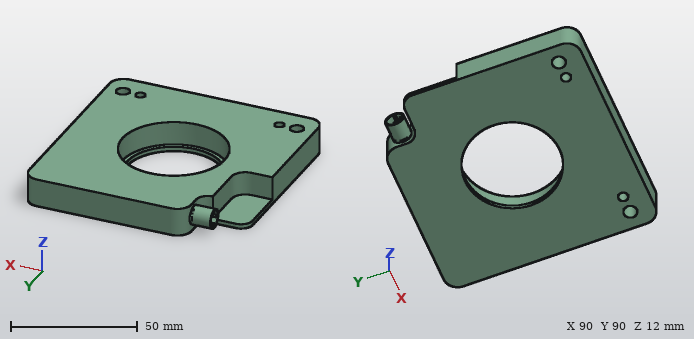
import cadquery as cq
import math

plate_size = 90.0
plate_thickness = 12.0
corner_radius = 6.0
tab_corner_radius = 5.0
half_size = plate_size / 2

notch_width = 20.0
notch_length = 15.5
notch_inner_radius = 5.0
notch_wall_x = -half_size + notch_width
notch_wall_y = half_size - notch_length

pocket_width = notch_width - notch_inner_radius
pocket_end_from_top_edge = 39.5
pocket_length = pocket_end_from_top_edge - notch_length
pocket_corner_radius = 6.0
tab_thickness = 2.0

bore_diameter = 44.0
through_diameter = 40.0
lip_thickness = 2.0

hole_row_y = -half_size + 10.0
screw_hole_x = half_size - 7.5
screw_hole_diameter = 5.5
dowel_hole_x = half_size - 15.0
dowel_hole_diameter = 4.0

connector_diameter = 8.0
connector_length = 8.7
connector_socket_diameter = 7.0
connector_socket_depth = 8.0
connector_y = half_size - 8.6
connector_z = 6.2
connector_embed = 1.0
pin_diameter = 1.0
pin_circle_radius = 2.5
pin_recess = 0.2
pin_angles = (0, 90, 180)


def make_plate():
    """Square plate with the notch in its outline and every outline corner rounded."""
    outline = (
        cq.Workplane("XY")
        .moveTo(-half_size, -half_size)
        .lineTo(half_size, -half_size)
        .lineTo(half_size, half_size)
        .lineTo(notch_wall_x, half_size)
        .lineTo(notch_wall_x, notch_wall_y)
        .lineTo(-half_size, notch_wall_y)
        .close()
        .extrude(plate_thickness)
    )
    mid_height = plate_thickness / 2
    tab_corner = cq.selectors.NearestToPointSelector((-half_size, notch_wall_y, mid_height))
    inner_corner = cq.selectors.NearestToPointSelector((notch_wall_x, notch_wall_y, mid_height))
    rounded = outline.edges("|Z and (>X or >Y or <Y)").fillet(corner_radius)
    rounded = rounded.edges(tab_corner).fillet(tab_corner_radius)
    return rounded.edges(inner_corner).fillet(notch_inner_radius)


def make_pocket():
    """Cutter above the tab, rounded only at its inner corner."""
    block = cq.Workplane("XY").box(
        pocket_width, pocket_length, plate_thickness - tab_thickness, centered=False
    )
    block = block.edges("|Z and >X and <Y").fillet(pocket_corner_radius)
    return block.translate((-half_size, notch_wall_y - pocket_length, tab_thickness))


def make_bore():
    """Cutter for the central opening with a thin lip at the bottom."""
    through = cq.Workplane("XY").circle(through_diameter / 2).extrude(plate_thickness)
    counterbore = (
        cq.Workplane("XY", origin=(0, 0, lip_thickness))
        .circle(bore_diameter / 2)
        .extrude(plate_thickness - lip_thickness)
    )
    return through.union(counterbore)


def make_hole_pair(x_offset, diameter):
    """Cutter for two through holes mirrored about X = 0."""
    return (
        cq.Workplane("XY")
        .pushPoints([(-x_offset, hole_row_y), (x_offset, hole_row_y)])
        .circle(diameter / 2)
        .extrude(plate_thickness)
    )


def make_rod(start_x, length, diameter, y=connector_y, z=connector_z):
    """Cylinder along +X, starting at start_x."""
    return cq.Workplane("YZ", origin=(start_x, y, z)).circle(diameter / 2).extrude(length)


def add_connector(body):
    """Hollow connector barrel with contact pins standing on the socket floor."""
    mouth_x = notch_wall_x - connector_length
    body = body.union(make_rod(mouth_x, connector_length + connector_embed, connector_diameter))
    body = body.cut(make_rod(mouth_x, connector_socket_depth, connector_socket_diameter))
    pin_length = connector_socket_depth - pin_recess + connector_embed
    for angle in pin_angles:
        pin_y = connector_y - pin_circle_radius * math.sin(math.radians(angle))
        pin_z = connector_z + pin_circle_radius * math.cos(math.radians(angle))
        body = body.union(make_rod(mouth_x + pin_recess, pin_length, pin_diameter, pin_y, pin_z))
    return body


plate = (
    make_plate()
    .cut(make_pocket())
    .cut(make_bore())
    .cut(make_hole_pair(screw_hole_x, screw_hole_diameter))
    .cut(make_hole_pair(dowel_hole_x, dowel_hole_diameter))
)
result = add_connector(plate)